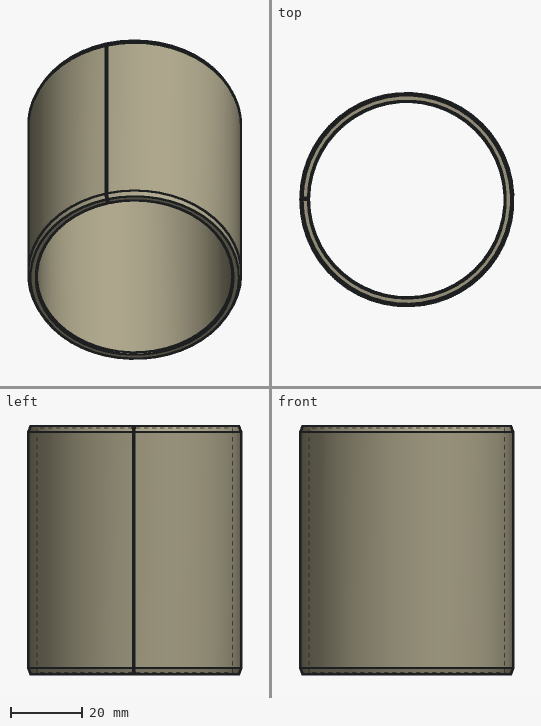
import cadquery as cq
import math

outer_diameter = 60.0
wall_thickness = 2.5
length = 70.0
outer_chamfer_length = 1.8
outer_chamfer_angle = 20.0
inner_chamfer_length = 0.6
inner_chamfer_angle = 30.0
joint_angle = 1.0

outer_radius = outer_diameter / 2
inner_radius = outer_radius - wall_thickness
half_length = length / 2
outer_chamfer_depth = outer_chamfer_length * math.tan(math.radians(outer_chamfer_angle))
inner_chamfer_depth = inner_chamfer_length * math.tan(math.radians(inner_chamfer_angle))
wrap_angle = 360.0 - joint_angle


def make_wall_section():
    """Wall section on the -X side, chamfered at all four corners."""
    end_outer_radius = outer_radius - outer_chamfer_depth
    end_inner_radius = inner_radius + inner_chamfer_depth
    outer_chamfer_z = half_length - outer_chamfer_length
    inner_chamfer_z = half_length - inner_chamfer_length
    return (
        cq.Workplane("XZ")
        .moveTo(-inner_radius, -inner_chamfer_z)
        .lineTo(-end_inner_radius, -half_length)
        .lineTo(-end_outer_radius, -half_length)
        .lineTo(-outer_radius, -outer_chamfer_z)
        .lineTo(-outer_radius, outer_chamfer_z)
        .lineTo(-end_outer_radius, half_length)
        .lineTo(-end_inner_radius, half_length)
        .lineTo(-inner_radius, inner_chamfer_z)
        .close()
    )


def make_bush():
    """Wrap the section about +Z from -X through -Y, leaving the joint open on the +Y side of -X."""
    axis_start = (0, 0, 0)
    axis_end = (0, 1, 0)
    return make_wall_section().revolve(wrap_angle, axis_start, axis_end)


result = make_bush()